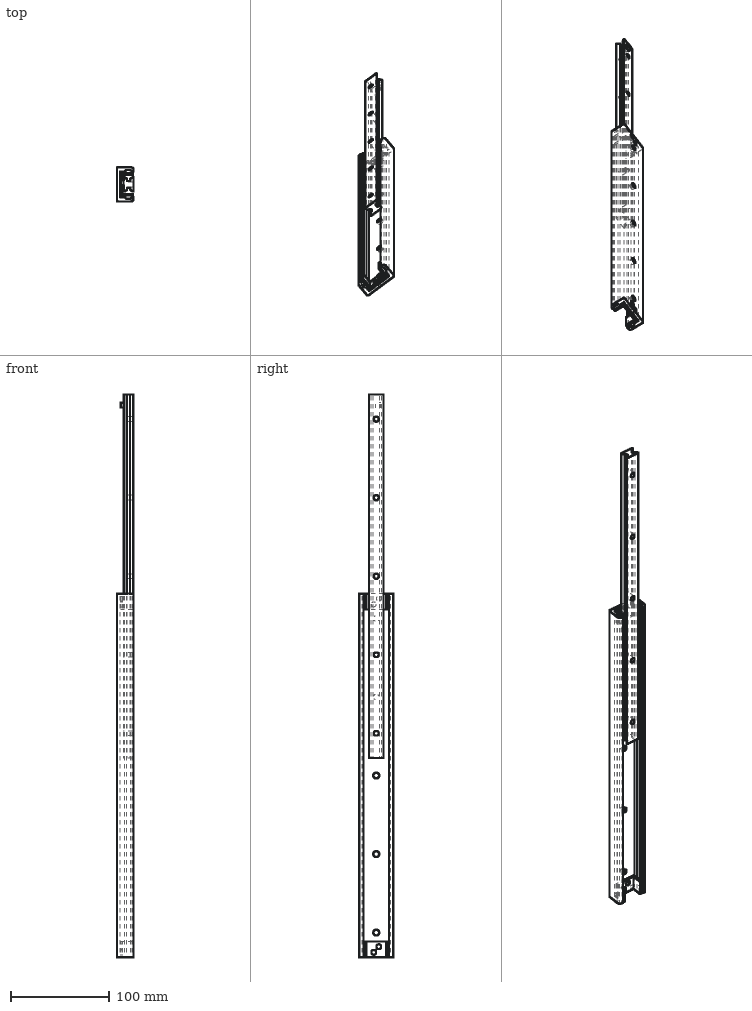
import cadquery as cq

TOTAL_LENGTH = 573.0
THICKNESS = 17.0
OUTER_WIDTH = 35.0
RAIL_LENGTH = 370.0
INNER_BOTTOM = TOTAL_LENGTH - RAIL_LENGTH

WEB_THICKNESS = 3.5
CAVITY_HALF_WIDTH = 12.9
OUTER_RACE_DEPTH = 2.0
OUTER_RACE_START = 8.0
OUTER_RACE_END = 15.5
LIP_RADIUS = 3.0
WEB_CORNER_RADIUS = 1.0

INNER_BACK = 7.0
INNER_WIDTH = 15.0
INNER_LAND = 0.85
INNER_RACE_DEPTH = 2.0
INNER_SLOT_WIDTH = 3.0
INNER_SLOT_FLOOR = 3.5
RACE_CENTRE = (INNER_BACK + THICKNESS) / 2

HOLE_COUNT = 5
HOLE_END_MARGIN = 25.0
HOLE_SPACING = (RAIL_LENGTH - 2 * HOLE_END_MARGIN) / (HOLE_COUNT - 1)
OUTER_HOLE_DIAMETER = 6.0
INNER_HOLE_DIAMETER = 5.0

RIVET_DIAMETER = 5.0
RIVET_OFFSET = 2.6
NEAR_RIVET_MARGIN = 5.0
FAR_RIVET_MARGIN = 11.0
BLOCK_SIZE = 5.0
BLOCK_HEIGHT = 3.0
BLOCK_OFFSET = 2.0
BLOCK_MARGIN = 11.0

CLIP_BACK = 4.3
CLIP_THICKNESS = 2.0
CLIP_HALF_WIDTH = 11.5
CLIP_FRONT = 16.5
CLIP_LENGTH = 16.0


def extrude_section(points, bottom, top):
    """Closed X-Y outline extruded along Z from bottom to top."""
    return cq.Workplane("XY").workplane(offset=bottom).polyline(points).close().extrude(top - bottom)


def mirrored(half):
    """Outline made of a +Y half and its mirror image in the plane Y = 0."""
    return half + [(x, -y) for x, y in reversed(half)]


def x_cylinder(diameter, x_start, x_end, y, z):
    """Round bar along X."""
    axis_start = cq.Vector(x_start, y, z)
    return cq.Workplane(
        cq.Solid.makeCylinder(diameter / 2, x_end - x_start, axis_start, cq.Vector(1, 0, 0))
    )


def drill_mounting_holes(rail, bottom, diameter):
    """Row of through holes on the centre line of a rail starting at the given Z."""
    for i in range(HOLE_COUNT):
        z = bottom + HOLE_END_MARGIN + i * HOLE_SPACING
        rail = rail.cut(x_cylinder(diameter, 0, THICKNESS, 0, z))
    return rail


def end_rivets():
    """Two staggered rivets per end; the lower pair is the upper pair turned half round."""
    places = [
        (RIVET_OFFSET, RAIL_LENGTH - NEAR_RIVET_MARGIN),
        (-RIVET_OFFSET, RAIL_LENGTH - FAR_RIVET_MARGIN),
        (RIVET_OFFSET, FAR_RIVET_MARGIN),
        (-RIVET_OFFSET, NEAR_RIVET_MARGIN),
    ]
    return [x_cylinder(RIVET_DIAMETER, 0, CLIP_BACK + CLIP_THICKNESS, y, z) for y, z in places]


def stop_block():
    """Square block standing on the back of the inner bar near its top end."""
    centre_x = INNER_BACK - BLOCK_HEIGHT / 2
    centre_z = TOTAL_LENGTH - BLOCK_MARGIN
    return (
        cq.Workplane("XY")
        .box(BLOCK_HEIGHT, BLOCK_SIZE, BLOCK_SIZE)
        .translate((centre_x, BLOCK_OFFSET, centre_z))
    )


def outer_channel(all_rivets):
    """C-section with a ball raceway inside each flange and holes for the rivets."""
    side = OUTER_WIDTH / 2
    race_floor = CAVITY_HALF_WIDTH + OUTER_RACE_DEPTH
    half = [
        (0, side),
        (THICKNESS, side),
        (THICKNESS, CAVITY_HALF_WIDTH),
        (OUTER_RACE_END, CAVITY_HALF_WIDTH),
        (OUTER_RACE_END - OUTER_RACE_DEPTH, race_floor),
        (OUTER_RACE_START + OUTER_RACE_DEPTH, race_floor),
        (OUTER_RACE_START, CAVITY_HALF_WIDTH),
        (WEB_THICKNESS, CAVITY_HALF_WIDTH),
    ]
    channel = extrude_section(mirrored(half), 0, RAIL_LENGTH)
    channel = channel.faces("<Y or >Y").edges("|Z and >X").fillet(LIP_RADIUS)
    channel = channel.faces("<X").edges("|Z").fillet(WEB_CORNER_RADIUS)
    channel = drill_mounting_holes(channel, 0, OUTER_HOLE_DIAMETER)
    for rivet in all_rivets:
        channel = channel.cut(rivet)
    return channel


def inner_bar():
    """Solid bar with a flared raceway and relief slot along each side."""
    side = INNER_WIDTH / 2
    race_floor = side - INNER_RACE_DEPTH
    slot_start = RACE_CENTRE - INNER_SLOT_WIDTH / 2
    slot_end = RACE_CENTRE + INNER_SLOT_WIDTH / 2
    half = [
        (INNER_BACK, side),
        (INNER_BACK + INNER_LAND, side),
        (slot_start, race_floor),
        (slot_start, INNER_SLOT_FLOOR),
        (slot_end, INNER_SLOT_FLOOR),
        (slot_end, race_floor),
        (THICKNESS - INNER_LAND, side),
        (THICKNESS, side),
    ]
    bar = extrude_section(mirrored(half), INNER_BOTTOM, TOTAL_LENGTH)
    return drill_mounting_holes(bar, INNER_BOTTOM, INNER_HOLE_DIAMETER)


def end_clip(bottom, all_rivets):
    """Thin C-section round the back and sides of the bar, pierced by the rivets that hold it."""
    inside = CLIP_HALF_WIDTH - CLIP_THICKNESS
    half = [
        (CLIP_BACK, CLIP_HALF_WIDTH),
        (CLIP_FRONT, CLIP_HALF_WIDTH),
        (CLIP_FRONT, inside),
        (CLIP_BACK + CLIP_THICKNESS, inside),
    ]
    clip = extrude_section(mirrored(half), bottom, bottom + CLIP_LENGTH)
    for rivet in all_rivets:
        clip = clip.cut(rivet)
    return clip


rivets = end_rivets()
channel = outer_channel(rivets)
bar = inner_bar()
block = stop_block()
clips = [end_clip(bottom, rivets) for bottom in (0, RAIL_LENGTH - CLIP_LENGTH)]

result = cq.Compound.makeCompound(
    [
        channel.val(),
        bar.val(),
        block.val(),
        *[clip.val() for clip in clips],
        *[rivet.val() for rivet in rivets],
    ]
)